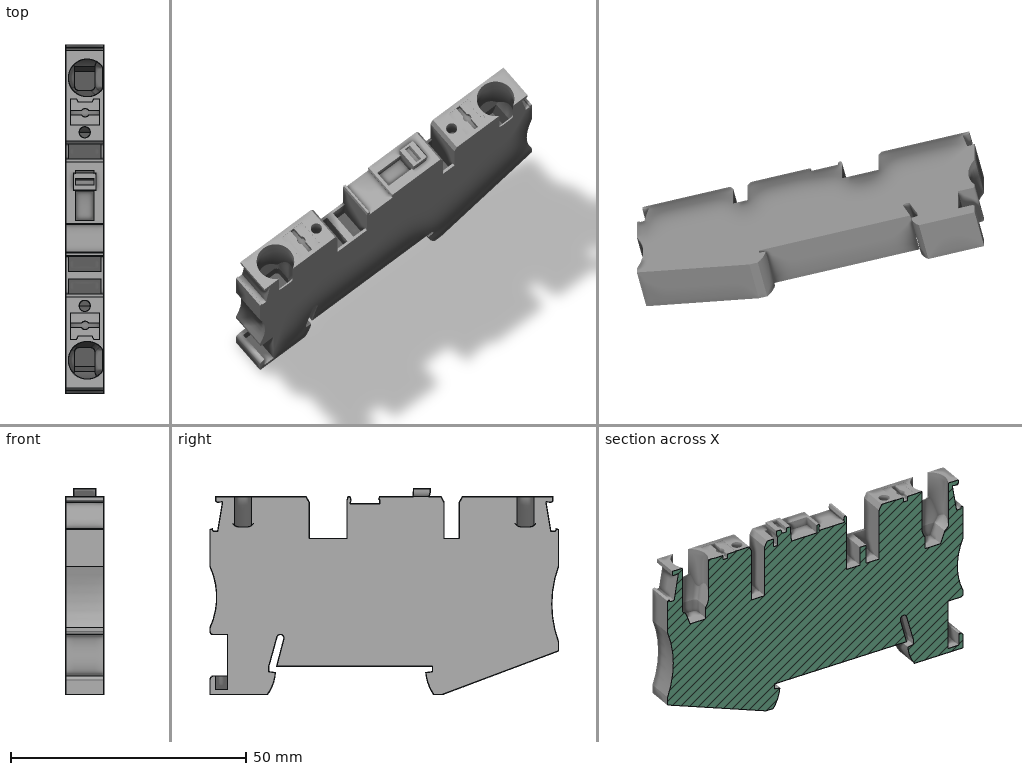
import cadquery as cq
import math

thickness = 8.15
half_thickness = thickness / 2
half_length = 37.05
button_top = 43.8
top = 42.1
overlap = 0.75

lip_tip = 35.9
lip_corner = 35.5
neck_top_y = 34.4
neck_bottom_y = 35.4
ridge_inner = 36.4
ridge_outer = 36.55
lip_side_z = 41.1
lip_bottom_z = 40.85
neck_top_z = 41.0
neck_bottom_z = 34.75
ridge_peak_z = 35.3
ridge_z = 35.05

hollow_depth = 1.4
hollow_top = 27.2
left_hollow_bottom = 11.3
right_hollow_bottom = 14.2

slot_floor = 33.2
slot_outer = 15.9
left_slot_inner = 12.75
right_slot_inner = -7.9
slot_chamfer_width = 0.7
slot_chamfer_height = 1.25
marker_pocket_half_width = 3.5
marker_pocket_length = slot_outer - left_slot_inner
marker_pocket_depth = 4.45

recess_left = -1.0
recess_right = -7.3
recess_floor = 40.6
recess_lip = 0.2
recess_lip_drop = 0.75

end_bottom = 9.3
underside_end = 12.4

hook_inner = 10.5
hook_bulge = (9.35, 2.3)
hook_tip = 8.8
hook_groove_y = 10.2
rail_seat = 6.0
rail_catch = 4.7
rail_groove_top = 4.9
slit_left_bottom = -22.9
slit_left_top = (-21.35, 11.9)
slit_crown = (-21.95, 12.75)
slit_right_top = (-22.8, 12.15)
slit_right_bend = (-24.25, 7.05)
foot_catch_y = -24.5
foot_tip = -23.1
foot_bulge = (-23.65, 2.2)
foot_heel = -24.8
foot_groove_bottom = 4.0
foot_groove_top = 12.75
foot_groove_y = -33.35
foot_radius = 0.9
step_radius = 0.7
foot_channel_wall = 0.9
foot_channel_outer = -35.9
foot_channel_floor = 1.1

wire_x = 0.5
wire_y = 30.0
wire_radius = 4.0
throat_half_width = 2.15
throat_inner = 27.35
throat_outer = 32.4
throat_z = 30.55
throat_corner_radius = 0.9
left_slope = 50.9
right_slope = 72.4
inner_slope = 71.8
bowl_radius = 4.5
bowl_start = 35.0
bowl_end = 70.0
window_x = 3.8
window_half_width = 2.4
window_corner_radius = 1.4
contact_floor_outer = 31.35
contact_wall_slope = 70.0

lever_x = 0.1
lever_half_width = 3.1
lever_inner = 20.0
lever_outer = 25.6
lever_recess = 0.1
lever_notch_depth = 0.7
lever_notch_half_floor = 1.5
lever_notch_half_mouth = 1.85
lever_slot_y = 22.6
lever_slot_width = 1.0
lever_slot_radius = 0.9
lever_slot_depth = 1.1

test_y = 18.45
test_radius = 1.2
test_depth = 5.9
test_ramp_radius = 4.7
test_ramp_start = 66.0
test_ramp_end = 40.0

window_half = 1.9
slide_end = -0.3
slide_start = 10.4
slide_floor = 40.2
button_half_width = 2.4
button_outer = 9.8
button_outer_base = 9.55
button_inner_top = 6.2
button_inner_base = 5.9
button_side_z = 43.0
button_slot_outer = 8.6
button_slot_inner = 7.3
button_slot_depth = 1.0
button_slot_slope = 0.3


def rise(run, slope):
    """Height gained over a horizontal run at a slope in degrees."""
    return run * math.tan(math.radians(slope))


def extrude_x(outline, half_width=half_thickness):
    """Extrude a closed YZ outline symmetrically about the middle plane."""
    return outline.close().extrude(half_width, both=True)


def box_between(x_range, y_range, z_range):
    """Box given by its limits along each axis."""
    size = [high - low for low, high in (x_range, y_range, z_range)]
    corner = (x_range[0], y_range[0], z_range[0])
    return cq.Workplane("XY").box(*size, centered=False).translate(corner)


def slope_arc(outline, start, radius, start_slope, end_slope):
    """Add an arc rising toward +Y from one slope to another; return the outline and its end point."""
    turn = 1 if end_slope > start_slope else -1

    def point(slope):
        first, here = math.radians(start_slope), math.radians(slope)
        y = start[0] + turn * radius * (math.sin(here) - math.sin(first))
        z = start[1] + turn * radius * (math.cos(first) - math.cos(here))
        return (y, z)

    end = point(end_slope)
    return outline.threePointArc(point((start_slope + end_slope) / 2), end), end


def end_steps(side):
    """Points of the snap ledges from the top edge down to the end face."""
    steps = [
        (lip_tip, top),
        (lip_tip, lip_side_z),
        (lip_corner, lip_bottom_z),
        (neck_top_y, neck_top_z),
        (neck_bottom_y, neck_bottom_z),
        (ridge_inner, neck_bottom_z),
        (ridge_outer, ridge_peak_z),
        (half_length, ridge_z),
    ]
    return [(side * y, z) for y, z in steps]


def make_housing():
    chamfer_z = top - slot_chamfer_height
    hollow_y = half_length - hollow_depth
    outline = (
        cq.Workplane("YZ")
        .polyline(end_steps(1))
        .lineTo(half_length, hollow_top)
        .threePointArc((hollow_y, (hollow_top + left_hollow_bottom) / 2), (half_length, left_hollow_bottom))
        .lineTo(half_length, end_bottom)
        .lineTo(underside_end, 0)
        .lineTo(hook_inner, 0)
        .threePointArc(hook_bulge, (hook_tip, rail_catch))
        .lineTo(hook_groove_y, rail_groove_top)
        .lineTo(hook_groove_y, rail_seat)
        .lineTo(slit_left_bottom, rail_seat)
        .lineTo(*slit_left_top)
        .threePointArc(slit_crown, slit_right_top)
        .lineTo(*slit_right_bend)
        .lineTo(foot_catch_y, rail_seat)
        .lineTo(foot_catch_y, rail_groove_top)
        .lineTo(foot_tip, rail_catch)
        .threePointArc(foot_bulge, (foot_heel, 0))
        .lineTo(-half_length, 0)
        .lineTo(-half_length, foot_groove_bottom - foot_radius)
        .radiusArc((foot_radius - half_length, foot_groove_bottom), foot_radius)
        .lineTo(foot_groove_y, foot_groove_bottom)
        .lineTo(foot_groove_y, foot_groove_top)
        .lineTo(step_radius - half_length, foot_groove_top)
        .radiusArc((-half_length, foot_groove_top + step_radius), step_radius)
        .lineTo(-half_length, right_hollow_bottom)
        .threePointArc((-hollow_y, (hollow_top + right_hollow_bottom) / 2), (-half_length, hollow_top))
    )
    for point in reversed(end_steps(-1)):
        outline = outline.lineTo(*point)
    top_edge = [
        (-slot_outer - slot_chamfer_width, top),
        (-slot_outer, chamfer_z),
        (-slot_outer, slot_floor),
        (right_slot_inner, slot_floor),
        (right_slot_inner, top - recess_lip_drop),
        (right_slot_inner + recess_lip, top),
        (recess_right, top),
        (recess_right + recess_lip, top - recess_lip_drop),
        (recess_right, recess_floor),
        (recess_left, recess_floor),
        (recess_left, top - recess_lip_drop),
        (recess_left - recess_lip, top - recess_lip_drop + recess_lip),
        (recess_left, top),
        (left_slot_inner - slot_chamfer_width, top),
        (left_slot_inner, chamfer_z),
        (left_slot_inner, slot_floor),
        (slot_outer, slot_floor),
        (slot_outer, chamfer_z),
        (slot_outer + slot_chamfer_width, top),
    ]
    for point in top_edge:
        outline = outline.lineTo(*point)
    return extrude_x(outline)


def marker_pocket(start):
    """Pocket in a marker slot floor, from the given Y toward +Y."""
    return box_between(
        (-marker_pocket_half_width, marker_pocket_half_width),
        (start, start + marker_pocket_length),
        (slot_floor - marker_pocket_depth, slot_floor + overlap),
    )


def foot_channel():
    """Channel behind the rounded rim of the spring foot, open through the +X wall."""
    return box_between(
        (foot_channel_wall - half_thickness, half_thickness + overlap),
        (foot_channel_outer, foot_groove_y),
        (foot_channel_floor, foot_groove_bottom + overlap),
    )


def wire_hole():
    """Round entry narrowing to a rectangular throat, open through the +X wall."""
    above = top + overlap
    funnel_left = wire_x - wire_radius - overlap
    funnel_inner = wire_y - wire_radius - overlap
    ledge_z = throat_z + rise(window_x - throat_half_width, right_slope)

    across = (
        cq.Workplane("XZ", origin=(0, wire_y, 0))
        .moveTo(-throat_half_width, throat_z)
        .lineTo(throat_half_width, throat_z)
        .lineTo(window_x, ledge_z)
        .lineTo(window_x, above)
        .lineTo(funnel_left, above)
        .lineTo(funnel_left, throat_z + rise(-throat_half_width - funnel_left, left_slope))
        .close()
        .extrude(2 * wire_radius, both=True)
    )
    along = (
        cq.Workplane("YZ")
        .moveTo(funnel_inner, above)
        .lineTo(funnel_inner, throat_z + rise(throat_inner - funnel_inner, inner_slope))
        .lineTo(throat_inner, throat_z)
        .lineTo(throat_outer, throat_z)
    )
    along, bowl_rim = slope_arc(along, (throat_outer, throat_z), bowl_radius, bowl_start, bowl_end)
    along = along.lineTo(bowl_rim[0], above)
    funnel = across.intersect(extrude_x(along, 2 * wire_radius))
    inner_corners = cq.selectors.BoxSelector(
        (-window_x, funnel_inner, throat_z + overlap / 2),
        (half_thickness, throat_inner, ledge_z),
    )
    funnel = funnel.edges(inner_corners).fillet(throat_corner_radius)

    window = box_between(
        (window_x, half_thickness + overlap),
        (wire_y - window_half_width, wire_y + window_half_width),
        (ledge_z, above),
    )
    window = window.edges("<Z and |X").fillet(window_corner_radius)
    bore = (
        cq.Workplane("XY", origin=(wire_x, wire_y, throat_z))
        .circle(wire_radius)
        .extrude(above - throat_z)
    )

    contact_z = throat_z - rise(throat_outer - contact_floor_outer, contact_wall_slope)
    contact = extrude_x(
        cq.Workplane("YZ")
        .moveTo(throat_inner, throat_z)
        .lineTo(throat_inner, contact_z)
        .lineTo(contact_floor_outer, contact_z)
        .lineTo(throat_outer, throat_z),
        throat_half_width,
    )
    contact = contact.edges("|Z and <Y").fillet(throat_corner_radius)
    return funnel.union(window).intersect(bore).union(contact)


def lever():
    """Shallow lever outline with a screwdriver slot across it."""
    floor_y = lever_outer - lever_notch_depth
    plate = (
        cq.Workplane("XY", origin=(lever_x, 0, top - lever_recess))
        .moveTo(-lever_half_width, lever_inner)
        .lineTo(lever_half_width, lever_inner)
        .lineTo(lever_half_width, lever_outer)
        .lineTo(lever_notch_half_mouth, lever_outer)
        .lineTo(lever_notch_half_floor, floor_y)
        .lineTo(-lever_notch_half_floor, floor_y)
        .lineTo(-lever_notch_half_mouth, lever_outer)
        .lineTo(-lever_half_width, lever_outer)
        .close()
        .extrude(overlap)
    )
    slot = (
        cq.Workplane("XY", origin=(lever_x, lever_slot_y, top - lever_slot_depth))
        .rect(2 * lever_half_width, lever_slot_width)
        .extrude(lever_slot_depth)
    )
    centre = (
        cq.Workplane("XY", origin=(lever_x, lever_slot_y, top - lever_slot_depth))
        .circle(lever_slot_radius)
        .extrude(lever_slot_depth)
    )
    return plate.union(slot).union(centre)


def test_hole():
    """Round hole with a flat inner half and a rounded ramp on the outer half of its floor."""
    floor_z = top - test_depth
    bore = cq.Workplane("XY", origin=(0, test_y, floor_z)).circle(test_radius).extrude(test_depth)
    ramp = cq.Workplane("YZ").moveTo(test_y, floor_z)
    ramp, ramp_top = slope_arc(ramp, (test_y, floor_z), test_ramp_radius, test_ramp_start, test_ramp_end)
    ramp = ramp.lineTo(ramp_top[0] + overlap, ramp_top[1]).lineTo(ramp_top[0] + overlap, floor_z)
    return bore.cut(extrude_x(ramp))


def slide_window():
    return box_between((-window_half, window_half), (slide_end, slide_start), (slide_floor, top + overlap))


def slide_button():
    body = extrude_x(
        cq.Workplane("YZ")
        .moveTo(button_inner_base, slide_floor)
        .lineTo(button_inner_top, button_top)
        .lineTo(button_outer, button_top)
        .lineTo(button_outer, button_side_z)
        .lineTo(button_outer_base, top)
        .lineTo(button_outer_base, slide_floor),
        button_half_width,
    )
    slot_z = button_top - button_slot_depth
    slot = extrude_x(
        cq.Workplane("YZ")
        .moveTo(button_slot_inner, button_top)
        .lineTo(button_slot_inner, slot_z)
        .lineTo(button_slot_outer - button_slot_slope, slot_z)
        .lineTo(button_slot_outer, button_top),
        window_half,
    )
    return body.cut(slot)


housing = make_housing().cut(foot_channel())
for pocket_start in (
    slot_outer - marker_pocket_length,
    right_slot_inner - marker_pocket_length,
    -slot_outer,
):
    housing = housing.cut(marker_pocket(pocket_start))

for terminal_cut in (wire_hole(), lever(), test_hole()):
    housing = housing.cut(terminal_cut).cut(terminal_cut.mirror("XZ"))

result = housing.cut(slide_window()).union(slide_button())